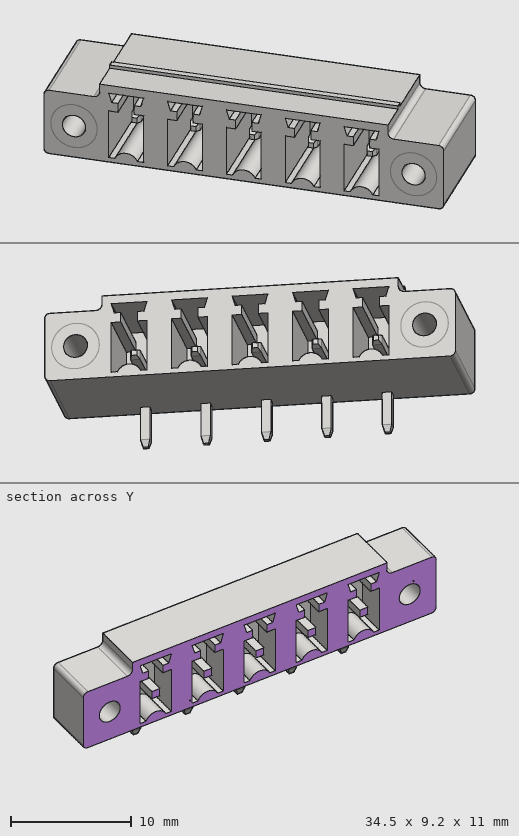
import cadquery as cq


total_length = 34.52
depth = 9.2
wing_height = 5.95
crown_length = 24.9
crown_height = 7.2
corner_radius = 0.45
step_radius = 0.5

rib_height = 0.3
rib_width = 0.6
rib_front = 2.9

contact_count = 5
pitch = 5.08
contact_positions = [(i - (contact_count - 1) / 2) * pitch for i in range(contact_count)]
contact_height = 2.92
pin_size = 0.8
tip_size = 0.45
tip_length = 0.6
tail_length = 3.45
tail_from_back = 1.24
pin_recess = 2.4

cavity_depth = 7.2
cavity_width = 3.0
cavity_floor = 0.43
shoulder_height = 4.8
neck_width = 1.4
neck_top = 5.63
keyway_base_width = 2.5
keyway_top = 6.46
saddle_chord = 1.95
saddle_rise = 0.62

bushing_from_contact = 4.5
bushing_offset = contact_positions[-1] + bushing_from_contact
bushing_height = contact_height
bushing_diameter = 4.0
bushing_depth = cavity_depth
bore_diameter = 2.0


def extrude_back(outline, front, length):
    """Extrude an XZ outline in +Y from the plane Y = front."""
    return outline.extrude(-length).translate((0, front, 0))


def make_housing():
    wings = cq.Workplane("XY").box(total_length, depth, wing_height, centered=(True, False, False))
    wings = wings.edges("|Y").fillet(corner_radius)
    crown = cq.Workplane("XY").box(crown_length, depth, crown_height, centered=(True, False, False))
    step_reach = crown_length / 2 + step_radius
    step_corners = cq.selectors.BoxSelector(
        (-step_reach, -depth, wing_height - step_radius / 2),
        (step_reach, 2 * depth, wing_height + step_radius / 2),
    )
    return wings.union(crown).edges("|Y").edges(step_corners).fillet(step_radius)


def make_rib():
    rib = cq.Workplane("XY").box(crown_length, rib_width, rib_height, centered=(True, False, False))
    return rib.translate((0, rib_front, crown_height))


def make_cavity(x):
    """T-shaped pocket with a keyway on top and a rounded saddle on its floor."""
    half = cavity_width / 2
    neck = neck_width / 2
    key = keyway_base_width / 2
    chord = saddle_chord / 2
    outline = (
        cq.Workplane("XZ")
        .moveTo(-half, cavity_floor)
        .lineTo(-chord, cavity_floor)
        .threePointArc((0, cavity_floor + saddle_rise), (chord, cavity_floor))
        .lineTo(half, cavity_floor)
        .lineTo(half, shoulder_height)
        .lineTo(neck, shoulder_height)
        .lineTo(neck, neck_top)
        .lineTo(key, neck_top)
        .lineTo(half, keyway_top)
        .lineTo(-half, keyway_top)
        .lineTo(-key, neck_top)
        .lineTo(-neck, neck_top)
        .lineTo(-neck, shoulder_height)
        .lineTo(-half, shoulder_height)
        .close()
    )
    return extrude_back(outline, 0, cavity_depth).translate((x, 0, 0))


def make_leg(length):
    """Square pin with a tapered end at Z = 0, running up to Z = length."""
    tip = (
        cq.Workplane("XY")
        .rect(tip_size, tip_size)
        .workplane(offset=tip_length)
        .rect(pin_size, pin_size)
        .loft()
    )
    shank = tip.faces(">Z").workplane().rect(pin_size, pin_size).extrude(length - tip_length, combine=False)
    return tip.union(shank)


def make_contact(x):
    """Right-angle pin: a mating leg facing -Y and a solder tail facing -Z."""
    tail_y = depth - tail_from_back
    tail = make_leg(tail_length + contact_height).translate((x, tail_y, -tail_length))
    mating = make_leg(tail_y - pin_recess).rotate((0, 0, 0), (1, 0, 0), -90)
    return tail.union(mating.translate((x, pin_recess, contact_height)))


def make_plug(x, diameter):
    disc = cq.Workplane("XZ").center(x, bushing_height).circle(diameter / 2)
    return extrude_back(disc, 0, bushing_depth)


def insert_bushing(body, x):
    """Set a flush blind bushing into a wing, keeping its rim as a separate face."""
    seat = make_plug(x, bushing_diameter)
    sleeve = seat.cut(make_plug(x, bore_diameter))
    return body.cut(seat, clean=False).union(sleeve, clean=False)


result = make_housing().union(make_rib())
for position in contact_positions:
    result = result.cut(make_cavity(position))
for position in contact_positions:
    result = result.union(make_contact(position))
for side in (-1, 1):
    result = insert_bushing(result, side * bushing_offset)